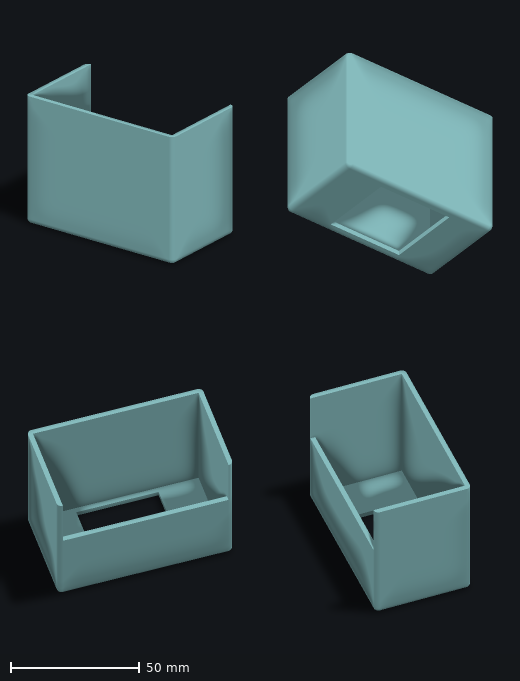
import cadquery as cq

length = 71.8
width = 40.3
height = 54.0

wall = 2.0
edge_radius = wall

window_length = 33.7
window_width = 32.0

back_wall_drop = 21.4

inner_length = length - 2 * wall
inner_width = width - 2 * wall


def rounded_block():
    """Solid block with rounded upright and bottom edges."""
    block = cq.Workplane("XY").box(length, width, height, centered=(True, True, False))
    return block.edges("|Z or <Z").fillet(edge_radius)


def cavity():
    """Inside space, open at the top."""
    return (
        cq.Workplane("XY")
        .workplane(offset=wall)
        .rect(inner_length, inner_width)
        .extrude(height)
    )


def floor_window():
    """Opening cut through the middle of the floor."""
    return cq.Workplane("XY").rect(window_length, window_width).extrude(wall)


def back_notch():
    """Upper part of the back wall, removed between the end walls."""
    return (
        cq.Workplane("XY")
        .workplane(offset=height - back_wall_drop)
        .center(0, width / 2)
        .rect(inner_length, 2 * wall)
        .extrude(back_wall_drop)
    )


result = rounded_block().cut(cavity()).cut(floor_window()).cut(back_notch())